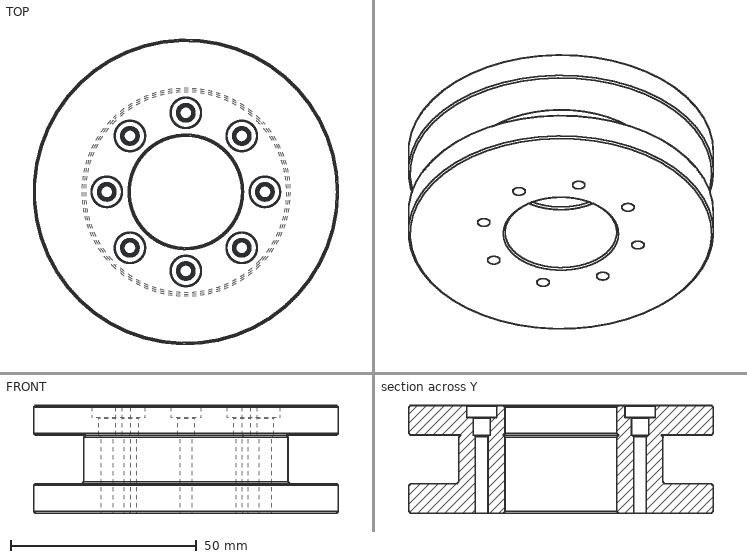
import cadquery as cq

flange_diameter = 82.0
flange_thickness = 8.0
hub_diameter = 55.0
hub_height = 13.0
bore_diameter = 30.0
edge_chamfer = 0.5

screw_count = 8
screw_circle_diameter = (bore_diameter + hub_diameter) / 2
head_diameter = 8.0
head_depth = 3.2
clearance_diameter = 4.5
tapping_diameter = 3.3
hole_chamfer = 0.2
tapping_chamfer = 0.35

total_height = 2 * flange_thickness + hub_height
top_z = total_height / 2
bottom_z = -top_z
hub_base_z = bottom_z + flange_thickness
joint_z = hub_base_z + hub_height
head_seat_z = top_z - head_depth


def disc(diameter, low_z, high_z):
    """Solid cylinder on the Z axis."""
    return cq.Workplane("XY").workplane(offset=low_z).circle(diameter / 2).extrude(high_z - low_z)


def cone(low_diameter, high_diameter, low_z, high_z):
    """Solid truncated cone on the Z axis."""
    outline = [(0, low_z), (low_diameter / 2, low_z), (high_diameter / 2, high_z), (0, high_z)]
    return cq.Workplane("XZ").polyline(outline).close().revolve(360, (0, 0), (0, 1))


def make_top_flange():
    """Bored disc with both rims and both bore mouths chamfered."""
    flange = disc(flange_diameter, joint_z, top_z).cut(disc(bore_diameter, joint_z, top_z))
    return flange.faces("|Z").edges().chamfer(edge_chamfer)


def make_base():
    """Bottom flange carrying the hub, with a chamfered foot where they meet."""
    flange = disc(flange_diameter, bottom_z, hub_base_z).faces("|Z").edges().chamfer(edge_chamfer)
    hub = disc(hub_diameter, hub_base_z, joint_z).faces(">Z").edges().chamfer(edge_chamfer)
    foot = cone(hub_diameter + 2 * edge_chamfer, hub_diameter, hub_base_z, hub_base_z + edge_chamfer)
    base = flange.union(hub).union(foot).cut(disc(bore_diameter, bottom_z, joint_z))
    bore_mouths = base.edges(cq.selectors.RadiusNthSelector(0))
    return bore_mouths.chamfer(edge_chamfer)


def make_hole_step(diameter, low_z, high_z, chamfer):
    """One cylindrical step of a screw hole, flared by a chamfer at its upper end."""
    flare = cone(diameter, diameter + 2 * chamfer, high_z - chamfer, high_z)
    return disc(diameter, low_z, high_z).union(flare)


def cut_screw_holes(body):
    """Ring of stepped holes running through the whole part."""
    hole = (
        make_hole_step(tapping_diameter, bottom_z, joint_z, tapping_chamfer)
        .union(make_hole_step(clearance_diameter, joint_z, head_seat_z, hole_chamfer))
        .union(make_hole_step(head_diameter, head_seat_z, top_z, hole_chamfer))
        .translate((screw_circle_diameter / 2, 0, 0))
    )
    for index in range(screw_count):
        angle = 360 * index / screw_count
        body = body.cut(hole.rotate((0, 0, 0), (0, 0, 1), angle))
    return body


result = cut_screw_holes(make_base().union(make_top_flange()))